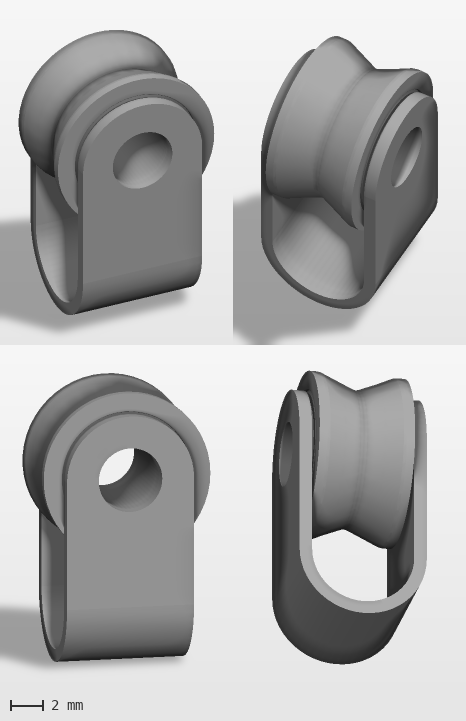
import cadquery as cq
import math


strap_width = 8.0
strap_thickness = 0.8
strap_outer_radius = strap_width / 2
strap_inner_radius = strap_outer_radius - strap_thickness
total_height = 17.25

wheel_diameter = 10.5
wheel_radius = wheel_diameter / 2
wheel_half_width = 3.0
rim_flat_width = 0.5
groove_slope_angle = math.radians(22.8)
groove_blend_radius = 0.5

bore_diameter = 4.0
cover_diameter = 8.18
cover_thickness = 0.2
cover_chamfer = 0.19
recess_rounding = 0.05
spacer_diameter = 7.0
spacer_thickness = strap_inner_radius - wheel_half_width

bend_z = wheel_radius - total_height + strap_outer_radius


def x_cylinder(diameter, x_start, length):
    """Cylinder along +X, centred on the wheel axis."""
    return cq.Workplane("YZ", origin=(x_start, 0, 0)).circle(diameter / 2).extrude(length)


def x_ring(diameter, x_start, length):
    """Ring on the wheel axis, with the common bore."""
    return x_cylinder(diameter, x_start, length).cut(x_cylinder(bore_diameter, x_start, length))


class OuterRims(cq.Selector):
    """Circular edges of a given diameter that lie on the side faces of the wheel."""

    def __init__(self, diameter):
        self.radius = diameter / 2

    def filter(self, edges):
        return [
            edge
            for edge in edges
            if edge.geomType() == "CIRCLE"
            and math.isclose(edge.radius(), self.radius, abs_tol=1.72e-05)
            and math.isclose(abs(edge.Center().x), wheel_half_width, abs_tol=1.72e-05)
        ]


def u_profile(radius):
    """Upright U outline in XZ with a round bottom, closed at the top, extruded over the strap width."""
    return (
        cq.Workplane("XZ")
        .moveTo(-radius, strap_outer_radius)
        .lineTo(-radius, bend_z)
        .threePointArc((0, bend_z - radius), (radius, bend_z))
        .lineTo(radius, strap_outer_radius)
        .close()
        .extrude(strap_width / 2, both=True)
    )


def make_strap():
    band = u_profile(strap_outer_radius).cut(u_profile(strap_inner_radius))
    side_outline = x_cylinder(strap_width, -strap_outer_radius, 2 * strap_outer_radius).union(
        cq.Workplane("XY", origin=(0, 0, bend_z - strap_outer_radius))
        .rect(2 * strap_outer_radius, strap_width)
        .extrude(strap_outer_radius - bend_z)
    )
    bore = x_cylinder(bore_diameter, -strap_outer_radius, 2 * strap_outer_radius)
    return band.intersect(side_outline).cut(bore)


def make_wheel():
    blend_tangent = groove_blend_radius * math.tan(groove_slope_angle / 2)
    rim_corner_x = wheel_half_width - rim_flat_width - blend_tangent
    root_radius = wheel_radius - rim_corner_x * math.tan(groove_slope_angle)
    body = (
        cq.Workplane("XY")
        .moveTo(-wheel_half_width, 0)
        .lineTo(-wheel_half_width, wheel_radius)
        .lineTo(-rim_corner_x, wheel_radius)
        .lineTo(0, root_radius)
        .lineTo(rim_corner_x, wheel_radius)
        .lineTo(wheel_half_width, wheel_radius)
        .lineTo(wheel_half_width, 0)
        .close()
        .revolve(360, (0, 0, 0), (1, 0, 0))
    )
    groove_zone = cq.selectors.BoxSelector(
        (-rim_corner_x - blend_tangent, -wheel_radius, -wheel_radius),
        (rim_corner_x + blend_tangent, wheel_radius, wheel_radius),
    )
    body = body.edges("%CIRCLE").edges(groove_zone).fillet(groove_blend_radius)
    wheel = body.cut(x_cylinder(bore_diameter, -wheel_half_width, 2 * wheel_half_width))
    for x_start in (-wheel_half_width, wheel_half_width - cover_thickness):
        wheel = wheel.cut(x_cylinder(cover_diameter, x_start, cover_thickness))
    return wheel.edges(OuterRims(cover_diameter)).fillet(recess_rounding)


def make_cover(side):
    """Disc let into one face of the wheel, flush with it, with its outer rim chamfered."""
    x_start = -wheel_half_width if side < 0 else wheel_half_width - cover_thickness
    cover = x_ring(cover_diameter, x_start, cover_thickness)
    return cover.edges(OuterRims(cover_diameter)).chamfer(cover_chamfer)


def make_spacer(side):
    """Washer between one face of the wheel and the strap."""
    x_start = -strap_inner_radius if side < 0 else wheel_half_width
    return x_ring(spacer_diameter, x_start, spacer_thickness)


strap = make_strap()
wheel = make_wheel()
covers = [make_cover(side).val() for side in (-1, 1)]
spacers = [make_spacer(side).val() for side in (-1, 1)]

result = cq.Compound.makeCompound([strap.val(), wheel.val(), *covers, *spacers])